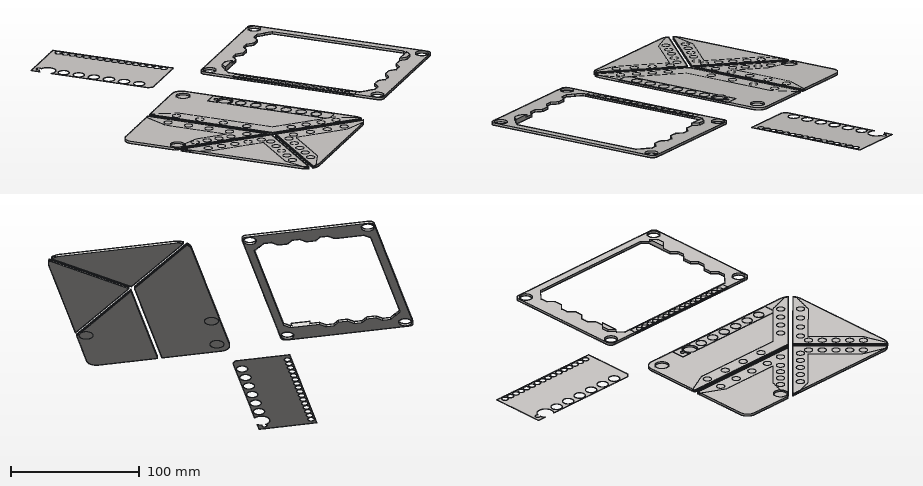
import cadquery as cq
import math

PLATE_THICK = 2.0
BOARD_LEFT = -20.5
BOARD_RIGHT = 140.3
BOARD_FRONT = -129.7
BOARD_BACK = -16.0
LEFT_CORNER_RADIUS = 7.9
RIGHT_CORNER_RADIUS = 11.2
GAP_WIDTH = 3.5
GAP_LENGTH = 168.5
JOINT_X = 83.22
JOINT_Y = -73.12

SLOT_HEIGHT = 0.2
SEAM_SLOT_BOTTOM = 1.2
SEAM_TAPER_STARTS = {45: 57.3, -45: 56.0, 180: 84.2, 225: 59.2}
SEAM_HALF_WIDTH = 13.8
SEAM_TAPER_RATIO = 2.0
SEAM_PEG_DIAMETER = 6.5
SEAM_PEG_OFFSET = 7.72

SEAM_PEG_ROWS = [
    (45, 1, 6.5, 12.5, 5),
    (45, -1, 14.3, 14.3, 4),
    (-45, 1, 14.0, 10.7, 5),
    (-45, -1, 14.0, 10.7, 5),
    (180, -1, 5.0, 19.6, 5),
    (180, 1, 33.0, 17.0, 4),
    (225, -1, 18.5, 0.0, 1),
    (225, -1, 32.0, 10.0, 4),
    (225, 1, 13.0, 11.2, 5),
]

POCKET_DIAMETER = 11.0
POCKET_DEPTH = 1.5
POCKET_WALL = 0.8
SEAM_POCKET_X = 23.0
CORNER_POCKET = (-10.7, -25.5)
BACK_POCKET = (SEAM_POCKET_X, -22.7)
FRONT_POCKET = (SEAM_POCKET_X, -122.5)
POCKETS = [CORNER_POCKET, BACK_POCKET, FRONT_POCKET]

FRAME_LENGTH = 152.7
FRAME_WIDTH = 105.3
FRAME_THICK = 2.0
FRAME_BOTTOM = 1.0
FRAME_X = 59.5
FRAME_Y = 77.33
FRAME_CORNER_RADIUS = 4.0
FRAME_HOLE_DIAMETER = 10.0
FRAME_HOLE_SPACING_X = 140.3
FRAME_HOLE_SPACING_Y = 93.7
WINDOW_LENGTH = 119.0
WINDOW_WIDTH = 92.5
WINDOW_CHAMFER = 4.5
WINDOW_X = FRAME_X + 0.3
WINDOW_Y = FRAME_Y - 0.3
NOTCH_COUNT = 4
NOTCH_PITCH = 22.5
NOTCH_DEPTH = 4.5
NOTCH_MOUTH = 15.2
NOTCH_FLOOR = 6.2
TAB_RISE = 2.0

CARD_LENGTH = 101.0
CARD_WIDTH = 46.0
CARD_THICK = 0.15
CARD_BOTTOM = 1.82
CARD_LEFT = -140.3
CARD_FRONT = -19.6
CARD_BACK = CARD_FRONT + CARD_WIDTH
CARD_CHAMFER = 2.8
SMALL_HOLE_DIAMETER = 5.0
SMALL_HOLE_COUNT = 16
SMALL_HOLE_PITCH = 6.0
SMALL_HOLE_START = 6.0
SMALL_HOLE_INSET = 3.5
LARGE_HOLE_DIAMETER = 8.7
LARGE_HOLE_COUNT = 6
LARGE_HOLE_PITCH = 12.5
LARGE_HOLE_START = 25.3
LARGE_HOLE_INSET = 5.3
END_HOLE_DIAMETER = 4.0
END_HOLE_START = 4.5
CARD_NOTCH_DIAMETER = 13.0

CARD_SLOT_BOTTOM = 1.5
CARD_SLOT_REACH = 22.5
FRAME_SLOT_BOTTOM = 2.2
FRAME_SLOT_REACH = 11.2
SLOT_CLEARANCE = 0.3
SMALL_PEG_DIAMETER = 4.5
LARGE_PEG_DIAMETER = 8.0
END_PEG_DIAMETER = 3.0
CARD_TO_PLATE = (151.3, -7.5)
CARD_TO_FRAME = (151.3, 4.0)

THROUGH = 8.5

SMALL_HOLES = [
    (CARD_LEFT + SMALL_HOLE_START + SMALL_HOLE_PITCH * i, CARD_BACK - SMALL_HOLE_INSET)
    for i in range(SMALL_HOLE_COUNT)
]
LARGE_HOLES = [
    (CARD_LEFT + LARGE_HOLE_START + LARGE_HOLE_PITCH * i, CARD_FRONT + LARGE_HOLE_INSET)
    for i in range(LARGE_HOLE_COUNT)
]
END_HOLE = (CARD_LEFT + END_HOLE_START, CARD_FRONT + LARGE_HOLE_INSET)
CARD_NOTCH = (BACK_POCKET[0] - CARD_TO_PLATE[0], BACK_POCKET[1] - CARD_TO_PLATE[1])


def discs(points, diameter, bottom=0.0, height=THROUGH):
    """Upright cylinders of one diameter at the given points."""
    return cq.Workplane("XY", origin=(0, 0, bottom)).pushPoints(points).circle(diameter / 2).extrude(height)


def prism(points, bottom, height):
    """Upright prism on a closed outline."""
    return cq.Workplane("XY", origin=(0, 0, bottom)).polyline(points).close().extrude(height)


def block(left, front, bottom, length, width, height):
    """Box placed by its left, front, bottom corner."""
    return cq.Workplane("XY").box(length, width, height, centered=False).translate((left, front, bottom))


def shifted(points, offset):
    return [(x + offset[0], y + offset[1]) for x, y in points]


def seam_point(angle, along, across):
    """Point at a distance along a gap from the joint, and across it to the left."""
    cos_a = math.cos(math.radians(angle))
    sin_a = math.sin(math.radians(angle))
    return (JOINT_X + along * cos_a - across * sin_a, JOINT_Y + along * sin_a + across * cos_a)


def make_seam_slots():
    """Slots along all gaps, tapering to a tip at the board edge, with the pegs left standing."""
    slots = cq.Workplane("XY")
    for angle, taper_start in SEAM_TAPER_STARTS.items():
        tip = taper_start + SEAM_HALF_WIDTH * SEAM_TAPER_RATIO
        outline = [
            (0, -SEAM_HALF_WIDTH),
            (taper_start, -SEAM_HALF_WIDTH),
            (tip, 0),
            (taper_start, SEAM_HALF_WIDTH),
            (0, SEAM_HALF_WIDTH),
        ]
        points = [seam_point(angle, along, across) for along, across in outline]
        slots = slots.add(prism(points, SEAM_SLOT_BOTTOM, SLOT_HEIGHT))
    slots = slots.combine()
    pegs = [
        seam_point(angle, first + pitch * i, side * SEAM_PEG_OFFSET)
        for angle, side, first, pitch, count in SEAM_PEG_ROWS
        for i in range(count)
    ]
    return slots.cut(discs(pegs, SEAM_PEG_DIAMETER))


def make_plate_card_slot():
    """Slot for the front strip of the card, open at the back edge of the board."""
    slot = block(
        CARD_LEFT + CARD_TO_PLATE[0] - SLOT_CLEARANCE,
        CARD_FRONT + CARD_TO_PLATE[1] - SLOT_CLEARANCE,
        CARD_SLOT_BOTTOM,
        CARD_LENGTH + 2 * SLOT_CLEARANCE,
        CARD_SLOT_REACH,
        SLOT_HEIGHT,
    )
    slot = slot.edges("|Z and >X and <Y").chamfer(CARD_CHAMFER)
    slot = slot.cut(discs(shifted(LARGE_HOLES, CARD_TO_PLATE), LARGE_PEG_DIAMETER))
    return slot.cut(discs(shifted([END_HOLE], CARD_TO_PLATE), END_PEG_DIAMETER))


def make_plates():
    """The four plates, as separate solids of one workplane."""
    board = block(
        BOARD_LEFT, BOARD_FRONT, 0, BOARD_RIGHT - BOARD_LEFT, BOARD_BACK - BOARD_FRONT, PLATE_THICK
    )
    board = board.edges("|Z and <X").fillet(LEFT_CORNER_RADIUS)
    board = board.edges("|Z and >X").fillet(RIGHT_CORNER_RADIUS)

    pocket_walls = discs(POCKETS, POCKET_DIAMETER + 2 * POCKET_WALL)
    board = board.cut(make_seam_slots().cut(pocket_walls))
    board = board.cut(make_plate_card_slot().cut(pocket_walls))
    board = board.cut(discs(POCKETS, POCKET_DIAMETER, PLATE_THICK - POCKET_DEPTH))

    half_gap = GAP_WIDTH / 2
    gap_outline = [(0, -half_gap), (GAP_LENGTH, -half_gap), (GAP_LENGTH, half_gap), (0, half_gap)]
    for angle in SEAM_TAPER_STARTS:
        points = [seam_point(angle, along, across) for along, across in gap_outline]
        board = board.cut(prism(points, 0, THROUGH))
    return board.solids()


def notch_prism(side, index, height):
    """Trapezoid beside the window: side -1 is left, +1 is right."""
    base_x = WINDOW_X + side * WINDOW_LENGTH / 2
    floor_x = base_x + side * NOTCH_DEPTH
    y = WINDOW_Y + NOTCH_PITCH * (index - (NOTCH_COUNT - 1) / 2)
    points = [
        (base_x, y - NOTCH_MOUTH / 2),
        (floor_x, y - NOTCH_FLOOR / 2),
        (floor_x, y + NOTCH_FLOOR / 2),
        (base_x, y + NOTCH_MOUTH / 2),
    ]
    return prism(points, FRAME_BOTTOM, height)


def make_frame_card_slot():
    """Slot for the back strip of the card, open at the front edge of the frame."""
    slot_back = CARD_BACK + CARD_TO_FRAME[1] + SLOT_CLEARANCE
    slot = block(
        CARD_LEFT + CARD_TO_FRAME[0] - SLOT_CLEARANCE,
        slot_back - FRAME_SLOT_REACH,
        FRAME_SLOT_BOTTOM,
        CARD_LENGTH + 2 * SLOT_CLEARANCE,
        FRAME_SLOT_REACH,
        SLOT_HEIGHT,
    )
    return slot.cut(discs(shifted(SMALL_HOLES, CARD_TO_FRAME), SMALL_PEG_DIAMETER))


def make_frame():
    frame = block(
        FRAME_X - FRAME_LENGTH / 2,
        FRAME_Y - FRAME_WIDTH / 2,
        FRAME_BOTTOM,
        FRAME_LENGTH,
        FRAME_WIDTH,
        FRAME_THICK,
    )
    frame = frame.edges("|Z").fillet(FRAME_CORNER_RADIUS)

    window = block(
        WINDOW_X - WINDOW_LENGTH / 2, WINDOW_Y - WINDOW_WIDTH / 2, 0, WINDOW_LENGTH, WINDOW_WIDTH, THROUGH
    )
    frame = frame.cut(window.edges("|Z").chamfer(WINDOW_CHAMFER))

    corner_holes = [
        (FRAME_X + i * FRAME_HOLE_SPACING_X / 2, FRAME_Y + j * FRAME_HOLE_SPACING_Y / 2)
        for i in (-1, 1)
        for j in (-1, 1)
    ]
    frame = frame.cut(discs(corner_holes, FRAME_HOLE_DIAMETER))

    tabs = [(-1, 0), (1, NOTCH_COUNT - 1)]
    for side in (-1, 1):
        for index in range(NOTCH_COUNT):
            if (side, index) in tabs:
                frame = frame.union(notch_prism(side, index, FRAME_THICK + TAB_RISE))
            else:
                frame = frame.cut(notch_prism(side, index, THROUGH))
    return frame.cut(make_frame_card_slot())


def make_card():
    card = block(CARD_LEFT, CARD_FRONT, CARD_BOTTOM, CARD_LENGTH, CARD_WIDTH, CARD_THICK)
    card = card.edges("|Z and >X and <Y").chamfer(CARD_CHAMFER)
    card = card.cut(discs(SMALL_HOLES, SMALL_HOLE_DIAMETER))
    card = card.cut(discs(LARGE_HOLES, LARGE_HOLE_DIAMETER))
    card = card.cut(discs([END_HOLE], END_HOLE_DIAMETER))
    return card.cut(discs([CARD_NOTCH], CARD_NOTCH_DIAMETER))


plates = make_plates()
frame = make_frame()
card = make_card()

result = cq.Compound.makeCompound([*plates.vals(), frame.val(), card.val()])